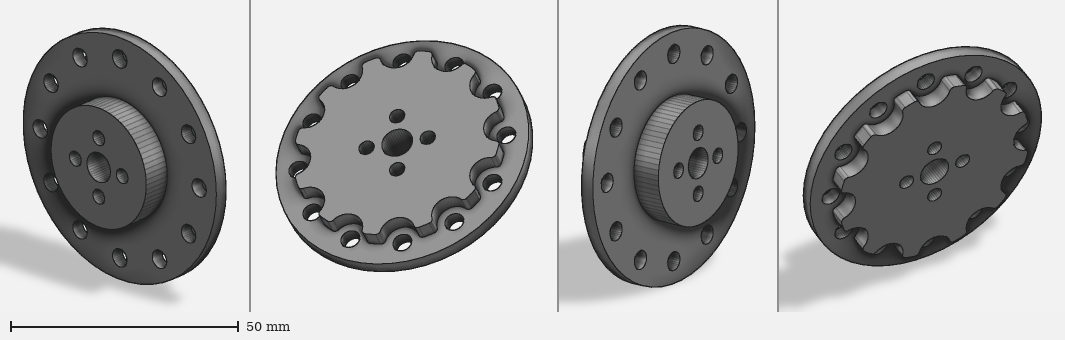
import cadquery as cq
import math

LOBE_DEPTH = 4.0
DISC_DEPTH = 3.2
HUB_DEPTH = 6.8
TOTAL_DEPTH = LOBE_DEPTH + DISC_DEPTH + HUB_DEPTH

DISC_DIAMETER = 57.95
HUB_DIAMETER = 28.5
HUB_SIDES = 75

BORE_DIAMETER = 7.0
BORE_SIDES = 40
SCREW_HOLE_COUNT = 4
SCREW_HOLE_DIAMETER = 3.5
SCREW_HOLE_SIDES = 24
SCREW_CIRCLE_RADIUS = 7.0

RIM_HOLE_COUNT = 12
RIM_HOLE_DIAMETER = 4.3
RIM_HOLE_SIDES = 30
RIM_CIRCLE_RADIUS = 23.8

SCALLOP_RADIUS = 4.0
LOBE_CORNER_RADIUS = 1.0


def slab(back_depth, depth, diameter):
    """Round plate whose back face lies back_depth in front of the part's back face."""
    return cq.Workplane("XZ", origin=(0, -back_depth, 0)).circle(diameter / 2).extrude(depth)


def polygon_prism(back_depth, depth, diameter, sides, centres=((0, 0),)):
    """Nearly round prisms around the given centres, each with a corner toward +X."""
    plane = cq.Workplane("XZ", origin=(0, -back_depth, 0))
    return plane.pushPoints(centres).polygon(sides, diameter).extrude(depth)


def ring_points(radius, count):
    """Evenly spaced (X, Z) points around the axis, starting at +X."""
    angles = [2 * math.pi * i / count for i in range(count)]
    return [(radius * math.cos(a), radius * math.sin(a)) for a in angles]


def make_lobed_ring():
    scallops = (
        cq.Workplane("XZ")
        .pushPoints(ring_points(RIM_CIRCLE_RADIUS, RIM_HOLE_COUNT))
        .circle(SCALLOP_RADIUS)
        .extrude(LOBE_DEPTH)
    )
    lobes = slab(0, LOBE_DEPTH, 2 * RIM_CIRCLE_RADIUS).cut(scallops)
    return lobes.edges("|Y").fillet(LOBE_CORNER_RADIUS)


def make_rim_holes():
    centres = ring_points(RIM_CIRCLE_RADIUS, RIM_HOLE_COUNT)
    round_centres = centres[0::2]
    faceted_centres = centres[1::2]
    round_holes = (
        cq.Workplane("XZ")
        .pushPoints(round_centres)
        .circle(RIM_HOLE_DIAMETER / 2)
        .extrude(TOTAL_DEPTH)
    )
    faceted_holes = polygon_prism(0, TOTAL_DEPTH, RIM_HOLE_DIAMETER, RIM_HOLE_SIDES, faceted_centres)
    return round_holes.add(faceted_holes).combine()


def make_screw_holes():
    centres = ring_points(SCREW_CIRCLE_RADIUS, SCREW_HOLE_COUNT)
    return polygon_prism(0, TOTAL_DEPTH, SCREW_HOLE_DIAMETER, SCREW_HOLE_SIDES, centres)


disc = slab(LOBE_DEPTH, DISC_DEPTH, DISC_DIAMETER)
hub = polygon_prism(LOBE_DEPTH + DISC_DEPTH, HUB_DEPTH, HUB_DIAMETER, HUB_SIDES)
bore = polygon_prism(0, TOTAL_DEPTH, BORE_DIAMETER, BORE_SIDES)

result = make_lobed_ring().union(disc).union(hub)
result = result.cut(bore).cut(make_screw_holes()).cut(make_rim_holes())